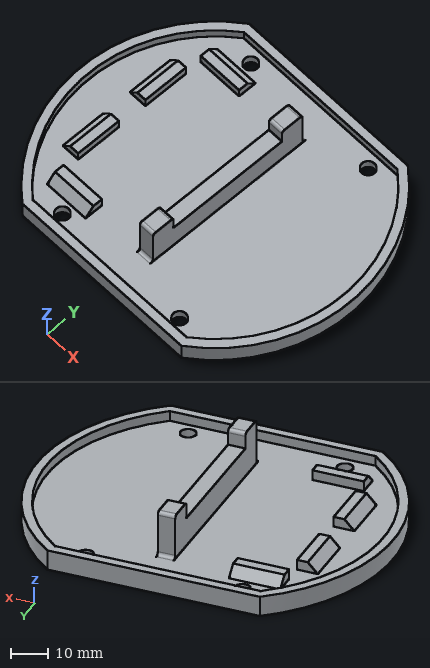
import cadquery as cq

tray_radius = 52.3
tray_width = 84.0
tray_height = 6.1
wall = 2.9
floor_thickness = 3.0

hole_diameter = 4.5
hole_x = 23.0
hole_y = 34.9

bracket_top = 16.5
saddle_top = 11.7
bracket_left = -0.2
bracket_thickness = 5.1
bracket_half_length = 27.7
post_length = 7.6
bracket_rounding = 1.0

wedge_width = 6.1
wedge_top_width = 3.1
wedge_length = 15.1
wedge_height = 3.0
side_wedge_inner_x = -32.6
side_wedge_start_y = 4.9
end_wedge_inner_y = 25.4
end_wedge_start_x = -32.6


def flattened_disc(radius, width, height):
    """Disc cut by two flats parallel to X, standing on Z = 0."""
    disc = cq.Workplane("XY").circle(radius).extrude(height)
    band = cq.Workplane("XY").box(2 * radius, width, height, centered=(True, True, False))
    return disc.intersect(band)


def make_tray():
    pocket = flattened_disc(tray_radius - wall, tray_width - 2 * wall, tray_height)
    tray = flattened_disc(tray_radius, tray_width, tray_height)
    return tray.cut(pocket.translate((0, 0, floor_thickness)))


def make_bracket():
    """U-shaped profile in the YZ plane with a concave fillet at the foot of both ends."""
    end = bracket_half_length
    post_inner = end - post_length
    bracket = (
        cq.Workplane("YZ", origin=(bracket_left, 0, 0))
        .moveTo(end + bracket_rounding, floor_thickness)
        .radiusArc((end, floor_thickness + bracket_rounding), bracket_rounding)
        .lineTo(end, bracket_top)
        .lineTo(post_inner, bracket_top)
        .lineTo(post_inner, saddle_top)
        .lineTo(-post_inner, saddle_top)
        .lineTo(-post_inner, bracket_top)
        .lineTo(-end, bracket_top)
        .lineTo(-end, floor_thickness + bracket_rounding)
        .radiusArc((-end - bracket_rounding, floor_thickness), bracket_rounding)
        .close()
        .extrude(bracket_thickness)
    )
    return bracket.faces(">Z").edges("|X").fillet(bracket_rounding)


def wedge_profile(plane, origin, outward):
    """Wedge cross-section; outward is the sign of the sloping side's direction."""
    profile = [
        (0, 0),
        (outward * wedge_width, 0),
        (outward * wedge_top_width, wedge_height),
        (0, wedge_height),
    ]
    return cq.Workplane(plane, origin=origin).polyline(profile).close()


def make_side_wedge():
    """Wedge running along Y, sloping toward -X."""
    origin = (side_wedge_inner_x, side_wedge_start_y, floor_thickness)
    return wedge_profile("XZ", origin, -1).extrude(-wedge_length)


def make_end_wedge():
    """Wedge running along X, sloping toward +Y."""
    origin = (end_wedge_start_x, end_wedge_inner_y, floor_thickness)
    return wedge_profile("YZ", origin, 1).extrude(wedge_length)


result = make_tray().union(make_bracket())
for wedge in (make_side_wedge(), make_end_wedge()):
    result = result.union(wedge).union(wedge.mirror("XZ"))

holes = (
    cq.Workplane("XY")
    .rect(2 * hole_x, 2 * hole_y, forConstruction=True)
    .vertices()
    .circle(hole_diameter / 2)
    .extrude(floor_thickness)
)
result = result.cut(holes)